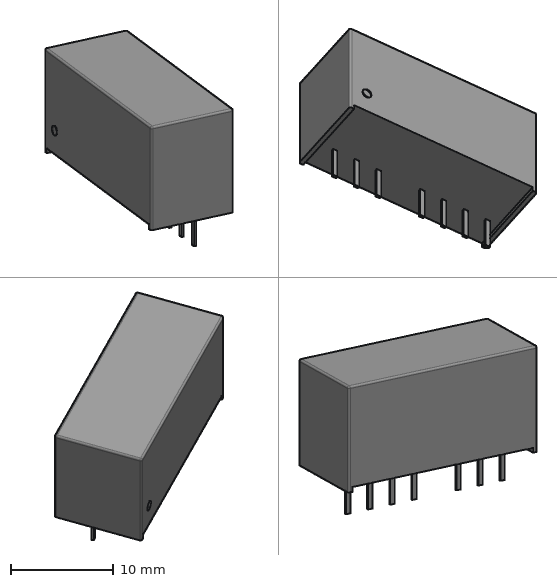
import cadquery as cq

HOUSING_LENGTH = 21.8
HOUSING_WIDTH = 9.2
HOUSING_HEIGHT = 11.1
EDGE_RADIUS = 0.22
FOOT_LENGTH = 0.5
FOOT_HEIGHT = 0.5

PIN_ROW_LENGTH = 17.77
PIN_GRID_PLACES = 8
EMPTY_PLACE = 3
PIN_WIDTH = 0.5
PIN_THICKNESS = 0.26
PIN_LENGTH = 3.6
PIN_ROW_Y = 1.29
PIN_PITCH = PIN_ROW_LENGTH / (PIN_GRID_PLACES - 1)
FIRST_PIN_X = -PIN_ROW_LENGTH / 2

MARKER_DIAMETER = 1.0
MARKER_DEPTH = 0.1
MARKER_Z = 3.0
FRONT_Y = -HOUSING_WIDTH / 2


def make_marker():
    """Disc whose outer face lies in the front face of the housing."""
    front_plane = cq.Plane(origin=(FIRST_PIN_X, FRONT_Y, MARKER_Z), xDir=(1, 0, 0), normal=(0, -1, 0))
    return cq.Workplane(front_plane).circle(MARKER_DIAMETER / 2).extrude(-MARKER_DEPTH)


def make_housing(marker):
    """Rounded block standing on a foot at each end, with a recess for the marker."""
    block = cq.Workplane("XY").box(
        HOUSING_LENGTH, HOUSING_WIDTH, HOUSING_HEIGHT, centered=(True, True, False)
    )
    block = block.edges("|Z or >Z").fillet(EDGE_RADIUS)
    standoff_gap = cq.Workplane("XY").box(
        HOUSING_LENGTH - 2 * FOOT_LENGTH, HOUSING_WIDTH, FOOT_HEIGHT, centered=(True, True, False)
    )
    return block.cut(standoff_gap).cut(marker)


def make_pin(x):
    """Flat pin hanging down from the standing plane."""
    return (
        cq.Workplane("XY")
        .center(x, PIN_ROW_Y)
        .rect(PIN_WIDTH, PIN_THICKNESS)
        .extrude(-PIN_LENGTH)
    )


marker = make_marker()
housing = make_housing(marker)

pins = []
for place in range(PIN_GRID_PLACES):
    if place != EMPTY_PLACE:
        pins.append(make_pin(FIRST_PIN_X + place * PIN_PITCH).val())

result = cq.Compound.makeCompound([housing.solids().val(), marker.val(), *pins])